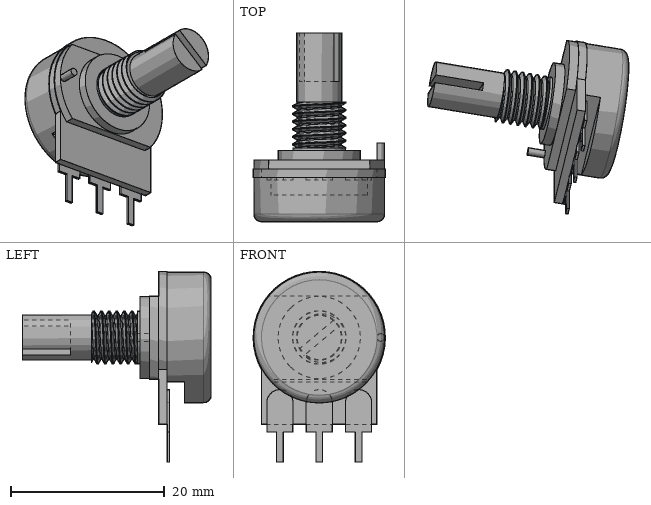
import cadquery as cq
import math

OVERALL_HEIGHT = 24.8

COVER_DIAMETER = 17.0
COVER_DEPTH = 5.73
COVER_FILLET = 1.0
NOTCH_TOP_Z = -5.75
NOTCH_DEPTH = 2.23

BOARD_DIAMETER = 17.2
BOARD_THICKNESS = 1.12
BOARD_TAB_WIDTH = 15.0
BOARD_BOTTOM_Z = -11.3

TERMINAL_COUNT = 3
TERMINAL_PITCH = 5.1
TERMINAL_THICKNESS = 0.32
TERMINAL_WIDTH = 3.4
TERMINAL_TOP_Z = -6.77
SHOULDER_Z = -12.3
PIN_WIDTH = 0.9
TERMINAL_BOTTOM_Z = BOARD_DIAMETER / 2 - OVERALL_HEIGHT

FLANGE_THICKNESS = 1.2
FLANGE_TOP_Z = 5.38
FLANGE_BOTTOM_Z = -5.45
BOSS_DIAMETER = 10.7
BOSS_LENGTH = 1.25
COLLAR_DIAMETER = 6.87
COLLAR_LENGTH = 0.32
THREAD_LENGTH = 5.95
THREAD_ROOT_DIAMETER = 5.75
THREAD_CREST_DIAMETER = 6.95
THREAD_PITCH = 1.0
THREAD_CREST_WIDTH = 0.12
THREAD_HALF_ANGLE = 30.0
THREAD_EMBED = 0.12
THREAD_PHASE_DROP = 0.05

PEG_DIAMETER = 1.0
PEG_LENGTH = 2.2
PEG_X = 8.0

SHAFT_DIAMETER = 5.9
SHAFT_LENGTH = 9.0
SLOT_WIDTH = 1.05
SLOT_LENGTH = 6.3
SLOT_ANGLE = 40.0

FLANGE_START = BOARD_THICKNESS
BOSS_START = FLANGE_START + FLANGE_THICKNESS
COLLAR_START = BOSS_START + BOSS_LENGTH
THREAD_START = COLLAR_START + COLLAR_LENGTH
SHAFT_START = THREAD_START + THREAD_LENGTH
SHAFT_END = SHAFT_START + SHAFT_LENGTH


def cylinder(diameter, start, length, x=0.0):
    """Cylinder along +Y from the given station."""
    return cq.Workplane(cq.Solid.makeCylinder(
        diameter / 2, length, cq.Vector(x, start, 0), cq.Vector(0, 1, 0)))


def block(width, start, length, bottom, top):
    """Box centred on X, given its Y start and length and its Z limits."""
    return cq.Workplane("XY").box(width, length, top - bottom).translate(
        (0, start + length / 2, (bottom + top) / 2))


def make_cover():
    body = cylinder(COVER_DIAMETER, -COVER_DEPTH, COVER_DEPTH)
    body = body.faces("<Y").edges().fillet(COVER_FILLET)
    notch = block(COVER_DIAMETER, -NOTCH_DEPTH, NOTCH_DEPTH, -COVER_DIAMETER, NOTCH_TOP_Z)
    return body.cut(notch)


def make_board():
    disc = cylinder(BOARD_DIAMETER, 0, BOARD_THICKNESS)
    tab = block(BOARD_TAB_WIDTH, 0, BOARD_THICKNESS, BOARD_BOTTOM_Z, 0)
    return disc.union(tab).clean()


def make_terminal(x):
    half_width = TERMINAL_WIDTH / 2
    half_pin = PIN_WIDTH / 2
    round_start_z = TERMINAL_TOP_Z - half_width
    return (
        cq.Workplane("XZ", origin=(x, 0, 0))
        .moveTo(-half_width, round_start_z)
        .threePointArc((0, TERMINAL_TOP_Z), (half_width, round_start_z))
        .lineTo(half_width, SHOULDER_Z)
        .lineTo(half_pin, SHOULDER_Z)
        .lineTo(half_pin, TERMINAL_BOTTOM_Z)
        .lineTo(-half_pin, TERMINAL_BOTTOM_Z)
        .lineTo(-half_pin, SHOULDER_Z)
        .lineTo(-half_width, SHOULDER_Z)
        .close()
        .extrude(TERMINAL_THICKNESS)
    )


def make_thread_ridge():
    """Right-handed helical ridge, trimmed flat at both ends of the threaded neck."""
    root_radius = THREAD_ROOT_DIAMETER / 2
    crest_radius = THREAD_CREST_DIAMETER / 2
    inner_radius = root_radius - THREAD_EMBED
    half_crest = THREAD_CREST_WIDTH / 2
    half_base = half_crest + (crest_radius - inner_radius) * math.tan(math.radians(THREAD_HALF_ANGLE))
    sweep_length = THREAD_LENGTH + 2 * THREAD_PITCH
    helix = cq.Wire.makeHelix(THREAD_PITCH, sweep_length, root_radius)
    ridge = (
        cq.Workplane("XZ")
        .polyline([
            (inner_radius, -half_base),
            (crest_radius, -half_crest),
            (crest_radius, half_crest),
            (inner_radius, half_base),
        ])
        .close()
        .sweep(cq.Workplane(helix), isFrenet=True)
        .rotate((0, 0, 0), (1, 0, 0), -90)
        .translate((0, THREAD_START - THREAD_PHASE_DROP - THREAD_PITCH, 0))
    )
    return ridge.intersect(cylinder(2 * THREAD_CREST_DIAMETER, THREAD_START, THREAD_LENGTH))


def make_bushing():
    flange = cylinder(COVER_DIAMETER, FLANGE_START, FLANGE_THICKNESS).intersect(
        block(COVER_DIAMETER, FLANGE_START, FLANGE_THICKNESS, FLANGE_BOTTOM_Z, FLANGE_TOP_Z))
    boss = cylinder(BOSS_DIAMETER, BOSS_START, BOSS_LENGTH)
    collar = cylinder(COLLAR_DIAMETER, COLLAR_START, COLLAR_LENGTH)
    peg = cylinder(PEG_DIAMETER, BOSS_START, PEG_LENGTH, PEG_X)
    neck = cylinder(THREAD_ROOT_DIAMETER, THREAD_START, THREAD_LENGTH).union(make_thread_ridge())
    return flange.union(boss).union(collar).union(peg).union(neck)


def make_shaft():
    body = cylinder(SHAFT_DIAMETER, SHAFT_START, SHAFT_LENGTH)
    slot = block(2 * SHAFT_DIAMETER, SHAFT_END - SLOT_LENGTH, SLOT_LENGTH, -SLOT_WIDTH / 2, SLOT_WIDTH / 2)
    return body.cut(slot.rotate((0, 0, 0), (0, 1, 0), -SLOT_ANGLE))


cover = make_cover()
board = make_board()
bushing = make_bushing()
shaft = make_shaft()
terminals = [
    make_terminal((index - (TERMINAL_COUNT - 1) / 2) * TERMINAL_PITCH)
    for index in range(TERMINAL_COUNT)
]

result = cq.Compound.makeCompound([
    cover.solids().val(),
    board.solids().val(),
    bushing.solids().val(),
    shaft.solids().val(),
    *[terminal.solids().val() for terminal in terminals],
])